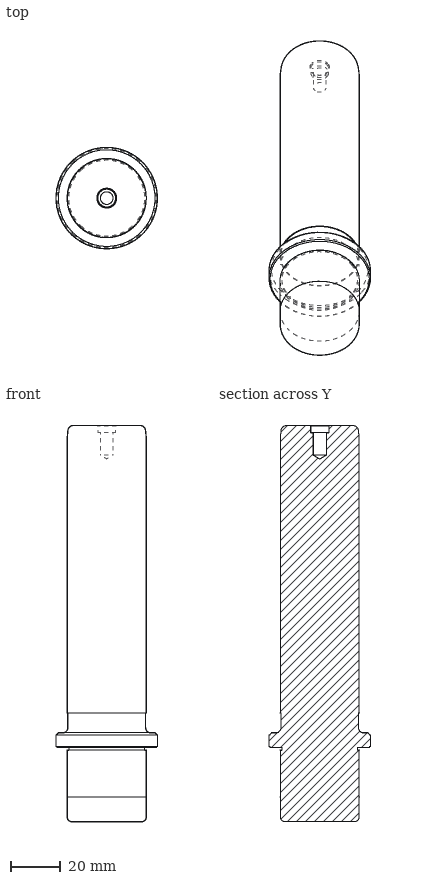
import cadquery as cq
import math

total_length = 160.0
fit_length = 30.0
flange_thickness = 6.0
neck_length = 8.0
flange_top = fit_length + flange_thickness
neck_top = flange_top + neck_length

flange_radius = 41.0 / 2
shaft_radius = 32.0 / 2
shank_radius = shaft_radius
neck_radius = 31.5 / 2

flange_top_chamfer = 1.0
flange_bottom_chamfer = 0.5
neck_fillet = 2.0

undercut_width = 1.0
undercut_radius = 30.6 / 2

lead_in_length = 10.0
lead_in_radius = 31.98 / 2
bottom_round = 2.0

top_lead_length = 5.0
top_lead_radius = 31.5 / 2
top_round = 2.4

counterbore_radius = 7.2 / 2
counterbore_depth = 3.0
counterbore_chamfer = 0.4
hole_radius = 5.1 / 2
hole_depth = 12.0
drill_tip_angle = 118.0


def corner_arc_middle(radius):
    """Distance from a quarter round's square corner to its midpoint, along either axis."""
    return radius * (1 - math.sqrt(0.5))


def make_body():
    """Revolve the half profile of the pillar, including rim rounds, chamfers and fillets."""
    bottom_mid = corner_arc_middle(bottom_round)
    neck_mid = corner_arc_middle(neck_fillet)
    top_mid = corner_arc_middle(top_round)
    profile = (
        cq.Workplane("XZ")
        .moveTo(0, 0)
        .lineTo(lead_in_radius - bottom_round, 0)
        .threePointArc((lead_in_radius - bottom_mid, bottom_mid), (lead_in_radius, bottom_round))
        .lineTo(lead_in_radius, lead_in_length)
        .lineTo(shank_radius, lead_in_length)
        .lineTo(shank_radius, fit_length - undercut_width)
        .lineTo(undercut_radius, fit_length - undercut_width)
        .lineTo(undercut_radius, fit_length)
        .lineTo(flange_radius - flange_bottom_chamfer, fit_length)
        .lineTo(flange_radius, fit_length + flange_bottom_chamfer)
        .lineTo(flange_radius, flange_top - flange_top_chamfer)
        .lineTo(flange_radius - flange_top_chamfer, flange_top)
        .lineTo(neck_radius + neck_fillet, flange_top)
        .threePointArc(
            (neck_radius + neck_mid, flange_top + neck_mid),
            (neck_radius, flange_top + neck_fillet),
        )
        .lineTo(neck_radius, neck_top)
        .lineTo(shaft_radius, neck_top)
        .lineTo(shaft_radius, total_length - top_lead_length)
        .lineTo(top_lead_radius, total_length - top_round)
        .threePointArc(
            (top_lead_radius - top_mid, total_length - top_mid),
            (top_lead_radius - top_round, total_length),
        )
        .lineTo(0, total_length)
        .close()
    )
    return profile.revolve(360, (0, 0, 0), (0, 1, 0))


def make_centre_hole():
    """Blind hole with a chamfered counterbore and a conical drill tip, on the axis of the top face."""
    tip_depth = hole_radius / math.tan(math.radians(drill_tip_angle / 2))
    hole_floor = total_length - hole_depth
    counterbore_floor = total_length - counterbore_depth
    profile = (
        cq.Workplane("XZ")
        .moveTo(0, total_length)
        .lineTo(counterbore_radius + counterbore_chamfer, total_length)
        .lineTo(counterbore_radius, total_length - counterbore_chamfer)
        .lineTo(counterbore_radius, counterbore_floor)
        .lineTo(hole_radius, counterbore_floor)
        .lineTo(hole_radius, hole_floor)
        .lineTo(0, hole_floor - tip_depth)
        .close()
    )
    return profile.revolve(360, (0, 0, 0), (0, 1, 0))


result = make_body().cut(make_centre_hole())